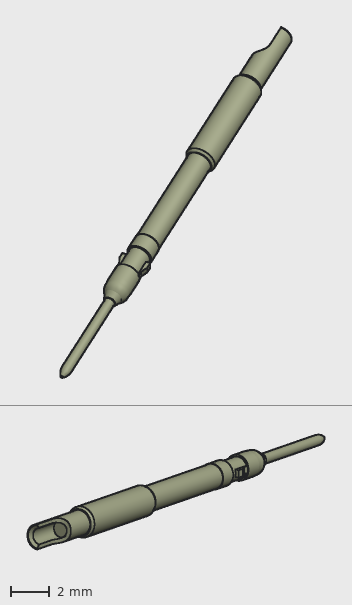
import cadquery as cq

length = 25.68
axis_start = length / 2

body_radius = 0.67
barrel_radius = 0.82
barrel_edge_radius = 0.72
band_radius = 0.7
neck_radius = 0.6
nose_radius = 0.67
nose_shoulder_radius = 0.62
nose_step_radius = 0.5
nose_tip_radius = 0.33
pin_radius = 0.28
pin_tip_radius = 0.08

barrel_start = 3.72
barrel_end = 9.55
barrel_chamfer = 0.18
rear_band_start = 15.66
neck_start = 16.56
neck_end = 17.95
front_band_end = 18.9
nose_start = 19.13
nose_shoulder = 19.5
nose_step = 19.67
nose_end = 20.05
pin_tip_start = 25.1

bore_radius = 0.44
bore_depth = 2.05
countersink_depth = 0.18
countersink_radius = 0.62
scoop_floor = 0.05
scoop_flat_length = 1.28
scoop_radius = scoop_floor + body_radius

latch_width = 0.39
latch_start = 16.92
latch_crest_end = 17.25
latch_slope_end = 17.65
latch_crest = 0.8
latch_heel = 0.65


def y_at(station):
    """Y coordinate of a station; the solder cup is at +Y, the pin tip at -Y."""
    return axis_start - station


def to_points(profile):
    """Convert (radius, station) pairs to XY points."""
    return [(radius, y_at(station)) for radius, station in profile]


def revolve_outline(outline):
    """Close an outline and turn it around the Y axis."""
    return outline.close().revolve(360, (0, 0, 0), (0, 1, 0))


def make_turned_body():
    shank = to_points([
        (0, 0),
        (body_radius, 0),
        (body_radius, barrel_start),
        (barrel_edge_radius, barrel_start),
        (barrel_radius, barrel_start + barrel_chamfer),
        (barrel_radius, barrel_end - barrel_chamfer),
        (barrel_edge_radius, barrel_end),
        (body_radius, barrel_end),
        (body_radius, rear_band_start),
        (band_radius, rear_band_start),
        (band_radius, neck_start),
        (neck_radius, neck_start),
        (neck_radius, neck_end),
        (band_radius, neck_end),
        (band_radius, front_band_end),
        (nose_radius, nose_start),
    ])
    outline = (
        cq.Workplane("XY")
        .polyline(shank)
        .threePointArc(
            (nose_shoulder_radius, y_at(nose_shoulder)),
            (nose_step_radius, y_at(nose_step)),
        )
        .lineTo(nose_tip_radius, y_at(nose_end))
        .lineTo(pin_radius, y_at(nose_end))
        .lineTo(pin_radius, y_at(pin_tip_start))
        .tangentArcPoint((pin_tip_radius, y_at(length)), relative=False)
        .lineTo(0, y_at(length))
    )
    return revolve_outline(outline)


def make_cup_bore():
    profile = to_points([
        (0, 0),
        (countersink_radius, 0),
        (bore_radius, countersink_depth),
        (bore_radius, bore_depth),
        (0, bore_depth),
    ])
    return revolve_outline(cq.Workplane("XY").polyline(profile))


def make_scoop():
    """Side opening of the cup: a flat cut ending in a quarter-round run-out at -X."""
    flat_box = (
        cq.Workplane("XY")
        .box(scoop_radius, scoop_flat_length, 2 * body_radius, centered=(False, False, True))
        .translate((-body_radius, y_at(scoop_flat_length), 0))
    )
    run_out = (
        cq.Workplane("XY")
        .center(-body_radius, y_at(scoop_flat_length))
        .circle(scoop_radius)
        .extrude(body_radius, both=True)
    )
    return flat_box.union(run_out)


def make_latch(side):
    """Latch tongue on one side of the neck; side is +1 for +X and -1 for -X."""
    profile = to_points([
        (0, latch_start),
        (side * latch_crest, latch_start),
        (side * latch_crest, latch_crest_end),
        (side * latch_heel, latch_slope_end),
        (side * latch_heel, neck_end),
        (0, neck_end),
    ])
    return cq.Workplane("XY").polyline(profile).close().extrude(latch_width / 2, both=True)


result = make_turned_body().cut(make_cup_bore()).cut(make_scoop())
for latch_side in (1, -1):
    result = result.union(make_latch(latch_side))